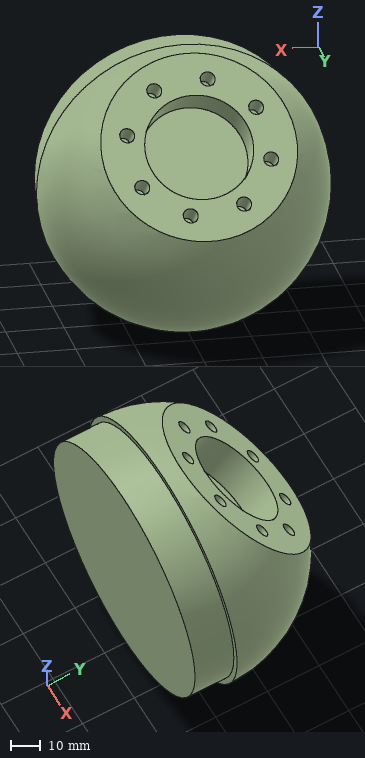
import cadquery as cq
import math

dome_radius = 50.0

spigot_diameter = 95.6
spigot_length = 15.0

flat_tilt = 40.0
flat_distance = 37.2

bore_diameter = 37.0
bore_depth = 13.0

hole_count = 8
hole_diameter = 5.0
hole_depth = 10.0
hole_circle_radius = 24.6
first_hole_angle = 31.0


def make_dome():
    """Hemisphere with its flat base in the XZ plane."""
    sphere = cq.Workplane("XY").sphere(dome_radius)
    front_half = cq.Workplane("XZ").rect(2 * dome_radius, 2 * dome_radius).extrude(-dome_radius)
    return sphere.intersect(front_half)


def make_spigot():
    return cq.Workplane("XZ").circle(spigot_diameter / 2).extrude(spigot_length)


flat_normal = cq.Vector(0, math.cos(math.radians(flat_tilt)), math.sin(math.radians(flat_tilt)))
flat_plane = cq.Plane(flat_normal * flat_distance, xDir=(1, 0, 0), normal=flat_normal)


def make_flat_cutter():
    """Everything outside the slanted flat."""
    return cq.Workplane(flat_plane).circle(dome_radius).extrude(dome_radius)


def make_bore():
    return cq.Workplane(flat_plane).circle(bore_diameter / 2).extrude(-bore_depth)


def make_hole_ring():
    return (
        cq.Workplane(flat_plane)
        .polarArray(hole_circle_radius, first_hole_angle, 360, hole_count)
        .circle(hole_diameter / 2)
        .extrude(-hole_depth)
    )


result = make_dome().union(make_spigot())
result = result.cut(make_flat_cutter()).cut(make_bore()).cut(make_hole_ring())